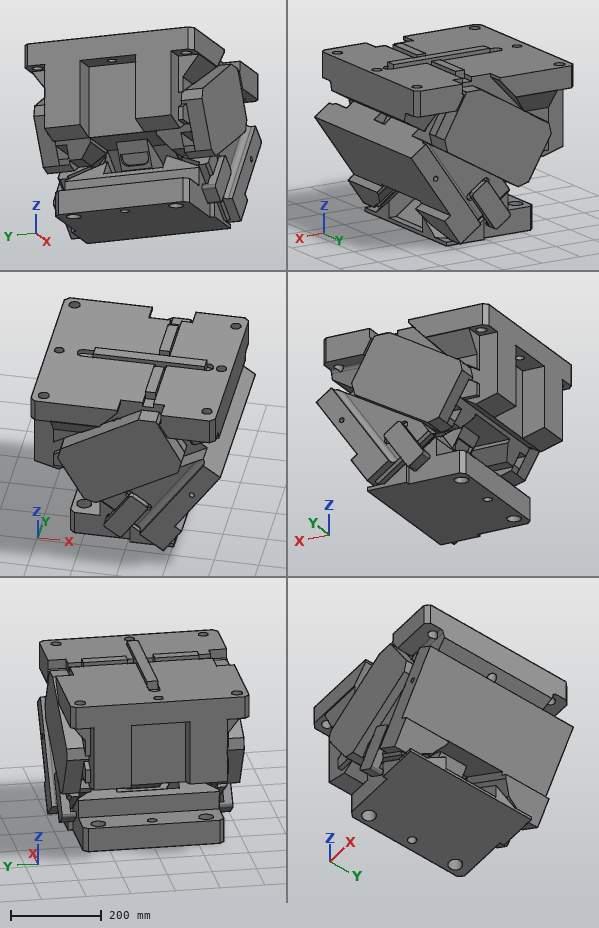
import cadquery as cq
import math

PLATE_HALF_WIDTH = 200.0
PLATE_LENGTH = 414.5
PLATE_TOP = 374.7
PLATE_BOTTOM_LEFT = 324.0
PLATE_BOTTOM_RIGHT = 315.5
PLATE_CORNER_CHAMFER = 10.5

GUIDE_ANGLE = 30.0
TRAVEL_ANGLE = 35.0
GUIDE_SLOPE = math.tan(math.radians(GUIDE_ANGLE))
END_SLOPE = -1 / GUIDE_SLOPE

LEG_HALF_WIDTH = 149.5
LEG_TIP = (54.5, 161.3)
LEG_FRONT_BOTTOM = 176.5
LEG_RECESS_HALF_WIDTH = 65.5
RAIL_HALF_WIDTH = 160.0
RAIL_START = 45.5
RAIL_BOTTOM = 177.5
GROOVE_LOW = 51.5
GROOVE_HIGH = 84.5

NOSE_TIP = (357.0, 262.2)
NOSE_BACK = 326.5
NOSE_SHOULDER = 308.5
NOSE_TOP_HALF_WIDTH = 154.0
NOSE_BOTTOM_HALF_WIDTH = 141.0
GUSSET_TOP_HALF_WIDTH = 197.5
GUSSET_BOTTOM = 275.0
NOTCH_LEFT = 196.0
NOTCH_RIGHT = 294.0
NOTCH_LEFT_BEND = (NOTCH_LEFT, 367.5)
NOTCH_LEFT_END = (85.5, 251.5)
NOTCH_RIGHT_BEND = (290.0, 349.5)

KEY_TOP = 384.0
CROSS_KEY_TOP = 383.5
KEY_SLOT_FLOOR = 364.5
KEY_HALF_WIDTH = 12.5
KEY_RANGE = (105.0, 355.5)
KEY_SLOT_RANGE = (67.0, 372.0)
CROSS_SLOT_RANGE = (245.0, 269.5)
CROSS_KEY_RANGE = (245.0, 268.2)
CROSS_KEY_Y_RANGE = (30.5, 129.5)

LEFT_HOLE_X = 26.0
LEFT_HOLE_Y = 175.5
LEFT_HOLE_DIAMETER = 24.0
LEFT_CENTRE_HOLE_DIAMETER = 20.5
RIGHT_HOLE_X = 390.5
RIGHT_HOLE_Y = 164.5
RIGHT_HOLE_DIAMETER = 22.0

BASE_START = 80.5
BASE_END = 316.5
BASE_STEP = 218.0
BASE_HALF_WIDTH = 158.0
BASE_WIDE_HALF_WIDTH = 169.0
BASE_FOOT_HEIGHT = 54.8
BASE_END_LEDGE = 8.5
SADDLE_CORNER = (149.0, 96.0)
EAVE_HEIGHT = 4.3
RIDGE_HALF_WIDTH = 69.7
RIDGE_HEIGHT = 55.0
RIDGE_SLOT_FLOOR = 13.5
BASE_HOLE_X = 106.0
BASE_HOLE_Y = 120.5
BASE_HOLE_DIAMETER = 32.5
BASE_CENTRE_HOLE_DIAMETER = 20.5

SLIDE_HALF_WIDTH = 177.5
SLIDE_BOTTOM = 15.5
RUNNER_INNER = 155.3
RUNNER_DROP = 6.0
RUNNER_LENGTH = 164.5
SLIDE_TOP = 265.5
FACE_BLOCK_BACK = 108.0
FACE_BLOCK_FRONT = 154.5
FACE_LIP_FRONT = 173.3
FACE_LIP_TOP = 87.0
COVE_RADIUS = 13.0
SIDE_HOLE = (134.5, 182.5)
SIDE_HOLE_DIAMETER = 11.0
SIDE_HOLE_DEPTH = 21.5
SIDE_PLATE_HALF_WIDTH = 198.5
SLIDE_END_TOP = (326.0, 303.5)
CHEEK_HALF_WIDTH = 135.0
CHEEK_GAP_Z_RANGE = (137.0, 164.3)
RIM_Y_RANGE = (21.5, 135.0)
CHANNEL_SIDE = [(155.3, 18.5), (106.5, 45.5), (83.0, 78.0), (78.0, 94.0)]
MOUTH_SIDE = [(106.5, 132.5), (78.0, 164.5), (78.0, 173.0)]
MOUTH_END = 202.8
STOP_HALF_WIDTH = 36.0
STOP_T_RANGE = (14.0, 64.0)
STOP_U_RANGE = (34.2, 98.5)
STOP_TOP = 177.5
STOP_POCKET_HALF_WIDTH = 32.0
STOP_POCKET_RANGE = (9.0, 37.2)
STOP_POCKET_RADIUS = 17.0
STOP_POCKET_DEPTH = 8.5

KEEPER_T_RANGE = (35.0, 84.3)
KEEPER_BOTTOM = -28.0
KEEPER_TOP = 81.3
KEEPER_HALF_WIDTH = 191.2
KEEPER_STEP = (171.5, 15.5)
KEEPER_HOOK = (159.5, -16.0)
KEEPER_CORNER_RADIUS = 6.5
RELIEF_RADIUS = 8.5
RELIEF_DEPTH = 8.5

REACH = 855.5

SIDE_PLATE_BOTTOM = (148.0, 117.5)
SIDE_PLATE_OUTLINE = [
    (62.0, 226.5), (68.0, 251.5), (243.0, 354.0), (282.8, 354.0),
    (339.5, 253.0), (332.0, 223.7), SIDE_PLATE_BOTTOM, (121.0, 125.0),
]


def on_slope(point, slope, x):
    """Point at x on the line of the given slope through a point."""
    return (x, point[1] + slope * (x - point[0]))


def crossing(point_a, slope_a, point_b, slope_b):
    """Meeting point of two sloped lines."""
    rise = point_b[1] - slope_b * point_b[0] - point_a[1] + slope_a * point_a[0]
    return on_slope(point_a, slope_a, rise / (slope_a - slope_b))


def guide_line(x, offset=0.0):
    """Point on the guide face, or on a parallel raised by offset in Z."""
    x_tip, z_tip = LEG_TIP
    return on_slope((x_tip, z_tip + offset), GUIDE_SLOPE, x)


TRAVEL_COS = math.cos(math.radians(TRAVEL_ANGLE))
TRAVEL_SIN = math.sin(math.radians(TRAVEL_ANGLE))
TRAVEL = (TRAVEL_COS, 0, -TRAVEL_SIN)


def at_depth(point, y=0.0):
    """Point in space from its X and Z at the given y."""
    return (point[0], y, point[1])


def travel_side_plane(y=0.0):
    """Sketch plane parallel to XZ with its axes along t and u; extrusion runs towards -Y."""
    origin = at_depth(SADDLE_CORNER, y)
    return cq.Workplane(cq.Plane(origin=origin, xDir=TRAVEL, normal=(0, -1, 0)))


def travel_section_plane():
    """Cross-section plane square to the travel, with its axes along Y and u."""
    return cq.Workplane(cq.Plane(origin=at_depth(SADDLE_CORNER), xDir=(0, 1, 0), normal=TRAVEL))


def travel_point(t, u):
    """X and Z of a point given in the travel frame."""
    return (
        SADDLE_CORNER[0] + t * TRAVEL_COS + u * TRAVEL_SIN,
        SADDLE_CORNER[1] - t * TRAVEL_SIN + u * TRAVEL_COS,
    )


def slab(outline, y_inner, y_outer):
    """XZ outline extruded between two distances from the centre plane, on the -Y side."""
    return cq.Workplane("XZ", origin=(0, -y_inner, 0)).polyline(outline).close().extrude(y_outer - y_inner)


def both_sides(solid):
    """The solid together with its mirror image across the centre plane."""
    return solid.union(solid.mirror("XZ"))


def mirrored_outline(half_outline):
    """Outline symmetric about the centre plane, from the corner points of its +Y half."""
    return half_outline + [(-y, height) for y, height in reversed(half_outline)]


def box_between(x_range, y_range, z_range):
    sizes = [high - low for low, high in (x_range, y_range, z_range)]
    corner = (x_range[0], y_range[0], z_range[0])
    return cq.Workplane("XY", origin=corner).box(*sizes, centered=False)


def vertical_holes(points, diameter):
    return cq.Workplane("XY").pushPoints(points).circle(diameter / 2).extrude(REACH)


def holder_plate():
    outline = [
        (0, PLATE_BOTTOM_LEFT), (0, PLATE_TOP), (PLATE_LENGTH, PLATE_TOP),
        (PLATE_LENGTH, PLATE_BOTTOM_RIGHT), (NOTCH_RIGHT, PLATE_BOTTOM_RIGHT),
        (NOTCH_RIGHT, PLATE_BOTTOM_LEFT),
    ]
    plate = both_sides(slab(outline, 0, PLATE_HALF_WIDTH))
    return plate.edges("|Z").edges("<X or >X").chamfer(PLATE_CORNER_CHAMFER)


def holder_legs():
    """Wedge-shaped body between the plate and the guide face, split into legs by a recess."""
    guide_end = crossing(LEG_TIP, GUIDE_SLOPE, (0, PLATE_BOTTOM_RIGHT), 0)
    outline = [(0, PLATE_TOP), (0, LEG_FRONT_BOTTOM), LEG_TIP, guide_end, (guide_end[0], PLATE_TOP)]
    body = both_sides(slab(outline, 0, LEG_HALF_WIDTH))
    recess = box_between(
        (0, LEG_TIP[0]), (-LEG_RECESS_HALF_WIDTH, LEG_RECESS_HALF_WIDTH), (0, PLATE_BOTTOM_LEFT)
    )
    return body.cut(recess)


def rail_groove():
    """Space of the groove in the -Y rail."""
    outline = [
        guide_line(0, GROOVE_LOW), guide_line(REACH, GROOVE_LOW),
        guide_line(REACH, GROOVE_HIGH), guide_line(0, GROOVE_HIGH),
    ]
    return slab(outline, LEG_HALF_WIDTH, RAIL_HALF_WIDTH)


def holder_rails():
    """Guide rails on the outer faces of the legs, each with a groove along the guide."""
    low_end = crossing(LEG_TIP, GUIDE_SLOPE, (0, RAIL_BOTTOM), 0)
    high_end = crossing(LEG_TIP, GUIDE_SLOPE, (0, PLATE_BOTTOM_RIGHT), 0)
    outline = [
        (RAIL_START, RAIL_BOTTOM), low_end, high_end,
        (high_end[0], PLATE_TOP), (RAIL_START, PLATE_TOP),
    ]
    rail = slab(outline, LEG_HALF_WIDTH, RAIL_HALF_WIDTH)
    return both_sides(rail.cut(rail_groove()))


def holder_gussets():
    """Sloped gussets joining the rails to the underside of the plate."""
    section = [
        (-RAIL_HALF_WIDTH, GUSSET_BOTTOM), (-GUSSET_TOP_HALF_WIDTH, PLATE_BOTTOM_LEFT),
        (-RAIL_HALF_WIDTH, PLATE_BOTTOM_LEFT),
    ]
    plane = cq.Workplane("YZ", origin=(RAIL_START, 0, 0))
    return both_sides(plane.polyline(section).close().extrude(NOTCH_LEFT - RAIL_START))


def holder_nose():
    """Stop nose under the +X end, with sides that taper inwards going down from root fillets."""
    root_radius = PLATE_BOTTOM_RIGHT - NOSE_SHOULDER
    root_half_width = NOSE_TOP_HALF_WIDTH + root_radius
    outline = [
        (NOSE_BACK, PLATE_BOTTOM_RIGHT), (NOSE_BACK, NOSE_SHOULDER), NOSE_TIP,
        on_slope(NOSE_TIP, GUIDE_SLOPE, PLATE_LENGTH), (PLATE_LENGTH, PLATE_BOTTOM_RIGHT),
    ]
    section = (
        cq.Workplane("YZ")
        .moveTo(-NOSE_BOTTOM_HALF_WIDTH, NOSE_TIP[1])
        .lineTo(NOSE_BOTTOM_HALF_WIDTH, NOSE_TIP[1])
        .lineTo(NOSE_TOP_HALF_WIDTH, NOSE_SHOULDER)
        .radiusArc((root_half_width, PLATE_BOTTOM_RIGHT), root_radius)
        .lineTo(-root_half_width, PLATE_BOTTOM_RIGHT)
        .radiusArc((-NOSE_TOP_HALF_WIDTH, NOSE_SHOULDER), root_radius)
        .close()
        .extrude(REACH)
    )
    return section.intersect(both_sides(slab(outline, 0, root_half_width)))


def side_plate_notches():
    """Clearance for the slide's side plates in the long edges of the plate."""
    outline = [
        (NOTCH_LEFT, PLATE_TOP), NOTCH_LEFT_BEND, NOTCH_LEFT_END,
        crossing(NOTCH_RIGHT_BEND, END_SLOPE, SIDE_PLATE_BOTTOM, GUIDE_SLOPE), NOTCH_RIGHT_BEND,
        (NOTCH_RIGHT, NOTCH_RIGHT_BEND[1] + NOTCH_RIGHT - NOTCH_RIGHT_BEND[0]), (NOTCH_RIGHT, PLATE_TOP),
    ]
    return both_sides(slab(outline, RAIL_HALF_WIDTH, PLATE_HALF_WIDTH))


def add_keys(holder):
    """Long key along X in a round-ended slot, crossed by two short keys along Y."""
    slot_start, slot_end = KEY_SLOT_RANGE
    slot = (
        cq.Workplane("XY", origin=((slot_start + slot_end) / 2, 0, KEY_SLOT_FLOOR))
        .slot2D(slot_end - slot_start, 2 * KEY_HALF_WIDTH)
        .extrude(PLATE_TOP - KEY_SLOT_FLOOR)
    )
    cross_slot = box_between(
        CROSS_SLOT_RANGE, (-RAIL_HALF_WIDTH, RAIL_HALF_WIDTH), (KEY_SLOT_FLOOR, PLATE_TOP)
    )
    long_key = box_between(KEY_RANGE, (-KEY_HALF_WIDTH, KEY_HALF_WIDTH), (KEY_SLOT_FLOOR, KEY_TOP))
    cross_key = box_between(CROSS_KEY_RANGE, CROSS_KEY_Y_RANGE, (KEY_SLOT_FLOOR, CROSS_KEY_TOP))
    return holder.cut(slot).cut(cross_slot).union(long_key).union(both_sides(cross_key))


def drill_holder(holder):
    left_points = [(LEFT_HOLE_X, y) for y in (-LEFT_HOLE_Y, LEFT_HOLE_Y)]
    right_points = [(RIGHT_HOLE_X, y) for y in (-RIGHT_HOLE_Y, 0, RIGHT_HOLE_Y)]
    return (
        holder.cut(vertical_holes(left_points, LEFT_HOLE_DIAMETER))
        .cut(vertical_holes([(LEFT_HOLE_X, 0)], LEFT_CENTRE_HOLE_DIAMETER))
        .cut(vertical_holes(right_points, RIGHT_HOLE_DIAMETER))
    )


def make_holder():
    holder = holder_plate().union(holder_legs()).union(holder_rails())
    holder = holder.union(holder_gussets()).union(holder_nose()).cut(side_plate_notches())
    return drill_holder(add_keys(holder))


TRAVEL_SLOPE = -TRAVEL_SIN / TRAVEL_COS
BED_END_SLOPE = -1 / TRAVEL_SLOPE
LEFT_END = SIDE_PLATE_OUTLINE[-1]
RIGHT_END = SIDE_PLATE_OUTLINE[4]
BED_END_TOP = crossing(SADDLE_CORNER, BED_END_SLOPE, SIDE_PLATE_BOTTOM, GUIDE_SLOPE)


def slide_bed():
    """Lower part of the slide, running on the base and ending under the side plates."""
    outline = [
        travel_point(0, SLIDE_BOTTOM), travel_point(FACE_BLOCK_BACK, SLIDE_BOTTOM),
        travel_point(FACE_BLOCK_BACK, SLIDE_TOP),
        crossing(travel_point(0, SLIDE_TOP), TRAVEL_SLOPE, SIDE_PLATE_BOTTOM, GUIDE_SLOPE),
        BED_END_TOP,
    ]
    return both_sides(slab(outline, 0, SLIDE_HALF_WIDTH))


def slide_runners():
    """Tapered strips under the outer edges of the bed."""
    section = [
        (-RUNNER_INNER, SLIDE_BOTTOM), (-RUNNER_INNER, SLIDE_BOTTOM - RUNNER_DROP),
        (RUNNER_DROP - SLIDE_HALF_WIDTH, SLIDE_BOTTOM - RUNNER_DROP), (-SLIDE_HALF_WIDTH, SLIDE_BOTTOM),
    ]
    return both_sides(travel_section_plane().polyline(section).close().extrude(RUNNER_LENGTH))


def slide_core():
    """Upper part of the slide under the holder's guide face, between the cheeks."""
    outline = [
        crossing(LEFT_END, END_SLOPE, LEG_TIP, GUIDE_SLOPE),
        crossing(SLIDE_END_TOP, END_SLOPE, LEG_TIP, GUIDE_SLOPE),
        crossing(SLIDE_END_TOP, END_SLOPE, SIDE_PLATE_BOTTOM, GUIDE_SLOPE),
        BED_END_TOP,
        crossing(LEFT_END, END_SLOPE, BED_END_TOP, 0),
    ]
    return both_sides(slab(outline, 0, CHEEK_HALF_WIDTH))


def slide_rims():
    """Raised rims at the +X end that carry the holder's nose."""
    outline = [
        crossing(SLIDE_END_TOP, END_SLOPE, SIDE_PLATE_BOTTOM, GUIDE_SLOPE),
        crossing(SLIDE_END_TOP, END_SLOPE, NOSE_TIP, GUIDE_SLOPE),
        crossing(travel_point(0, SLIDE_TOP), TRAVEL_SLOPE, NOSE_TIP, GUIDE_SLOPE),
        travel_point(FACE_BLOCK_BACK, SLIDE_TOP),
    ]
    return both_sides(slab(outline, *RIM_Y_RANGE))


def slide_cheeks():
    """Webs between the core and the side plates, each with an open gap at the -X end."""
    outline = [
        crossing(LEFT_END, END_SLOPE, LEG_TIP, GUIDE_SLOPE),
        crossing(RIGHT_END, END_SLOPE, LEG_TIP, GUIDE_SLOPE),
        *SIDE_PLATE_OUTLINE[4:],
    ]
    gap_low, gap_high = CHEEK_GAP_Z_RANGE
    gap = [
        (0, gap_low), crossing(SADDLE_CORNER, BED_END_SLOPE, (0, gap_low), 0),
        crossing(SADDLE_CORNER, BED_END_SLOPE, (0, gap_high), 0), (0, gap_high),
    ]
    cheek = slab(outline, CHEEK_HALF_WIDTH, RAIL_HALF_WIDTH)
    return both_sides(cheek.cut(slab(gap, CHEEK_HALF_WIDTH, RAIL_HALF_WIDTH)))


def slide_face_block():
    """Full-width mounting block across the +X end, with a lip and a small hole in each side."""
    outline = [
        (FACE_BLOCK_BACK, SLIDE_BOTTOM), (FACE_LIP_FRONT, SLIDE_BOTTOM),
        (FACE_LIP_FRONT, FACE_LIP_TOP), (FACE_BLOCK_FRONT, FACE_LIP_TOP),
        (FACE_BLOCK_FRONT, SLIDE_TOP), (FACE_BLOCK_BACK, SLIDE_TOP),
    ]
    block = travel_side_plane().polyline(outline).close().extrude(PLATE_HALF_WIDTH, both=True)
    hole = (
        travel_side_plane(SIDE_HOLE_DEPTH - PLATE_HALF_WIDTH)
        .center(*SIDE_HOLE).circle(SIDE_HOLE_DIAMETER / 2).extrude(SIDE_HOLE_DEPTH)
    )
    return block.cut(both_sides(hole))


def slide_coves():
    """Concave fillets between the bed's sides and the back of the face block."""
    plane = cq.Plane(
        origin=at_depth(travel_point(FACE_BLOCK_BACK, SLIDE_BOTTOM)),
        xDir=(0, -1, 0), normal=(TRAVEL_SIN, 0, TRAVEL_COS),
    )
    strip = (
        cq.Workplane(plane)
        .moveTo(SLIDE_HALF_WIDTH, 0)
        .line(COVE_RADIUS, 0)
        .radiusArc((SLIDE_HALF_WIDTH, -COVE_RADIUS), -COVE_RADIUS)
        .close()
        .extrude(SLIDE_TOP - SLIDE_BOTTOM)
    )
    below_side_plates = [
        on_slope(SIDE_PLATE_BOTTOM, GUIDE_SLOPE, 0), on_slope(SIDE_PLATE_BOTTOM, GUIDE_SLOPE, REACH),
        (REACH, 0), (0, 0),
    ]
    return both_sides(strip.intersect(slab(below_side_plates, 0, PLATE_HALF_WIDTH)))


def slide_side_plates():
    """Side plates overlapping the holder's rails, with a tongue in each rail groove."""
    plate = slab(SIDE_PLATE_OUTLINE, RAIL_HALF_WIDTH, SIDE_PLATE_HALF_WIDTH)
    tongue = slab(SIDE_PLATE_OUTLINE, LEG_HALF_WIDTH, RAIL_HALF_WIDTH)
    below_plate = box_between((0, REACH), (-REACH, REACH), (0, PLATE_BOTTOM_RIGHT))
    tongue = tongue.intersect(rail_groove()).intersect(below_plate)
    return both_sides(plate.union(tongue))


def slide_channel():
    """Vee channel along the travel that clears the ridge of the base."""
    outline = mirrored_outline([(RUNNER_INNER, 0), *CHANNEL_SIDE])
    return travel_section_plane().polyline(outline).close().extrude(REACH)


def slide_mouth():
    """Opening through the -X end of the core that leads into the channel."""
    return cq.Workplane("YZ").polyline(mirrored_outline(MOUTH_SIDE)).close().extrude(MOUTH_END)


def slide_stop():
    """Stop block hanging from the core into the slot of the base's ridge, with a pocket in its front."""
    t_low, t_high = STOP_T_RANGE
    u_low, u_high = STOP_U_RANGE
    front_bottom = travel_point(t_low, u_low)
    outline = [
        front_bottom, crossing(front_bottom, END_SLOPE, (0, STOP_TOP), 0),
        travel_point(t_high, u_high), travel_point(t_high, u_low),
    ]
    low, high = STOP_POCKET_RANGE
    guide_rad = math.radians(GUIDE_ANGLE)
    front_plane = cq.Plane(
        origin=at_depth(front_bottom), xDir=(0, 1, 0),
        normal=(math.cos(guide_rad), 0, math.sin(guide_rad)),
    )
    pocket = (
        cq.Workplane(front_plane)
        .center(0, (low + high) / 2)
        .rect(2 * STOP_POCKET_HALF_WIDTH, high - low)
        .extrude(STOP_POCKET_DEPTH)
        .edges(cq.selectors.ParallelDirSelector(front_plane.zDir))
        .edges("<Z").fillet(STOP_POCKET_RADIUS)
    )
    return both_sides(slab(outline, 0, STOP_HALF_WIDTH)).cut(pocket)


def slide_keepers():
    """Keeper blocks on the bed's sides, thickening downwards into hooks below the bed."""
    t_low, t_high = KEEPER_T_RANGE
    step_y, step_u = KEEPER_STEP
    hook_y, hook_u = KEEPER_HOOK
    section = [
        (-KEEPER_HALF_WIDTH, KEEPER_BOTTOM), (-KEEPER_HALF_WIDTH, KEEPER_TOP),
        (-SLIDE_HALF_WIDTH, KEEPER_TOP), (-SLIDE_HALF_WIDTH, step_u), (-step_y, step_u),
        (-step_y, hook_u), (-hook_y, hook_u), (-hook_y, KEEPER_BOTTOM),
    ]
    keeper = (
        travel_section_plane().workplane(offset=t_low)
        .polyline(section).close().extrude(t_high - t_low)
    )
    rounding = (
        travel_side_plane()
        .center((t_low + t_high) / 2, (KEEPER_BOTTOM + KEEPER_TOP) / 2)
        .rect(t_high - t_low, KEEPER_TOP - KEEPER_BOTTOM)
        .extrude(KEEPER_HALF_WIDTH)
        .edges("|Y").fillet(KEEPER_CORNER_RADIUS)
    )
    return both_sides(keeper.intersect(rounding))


def keeper_reliefs():
    """Round corner reliefs in the bed's sides at the upper end of each keeper."""
    relief = (
        travel_side_plane(RELIEF_DEPTH - SLIDE_HALF_WIDTH)
        .pushPoints([(t, KEEPER_TOP - RELIEF_RADIUS) for t in KEEPER_T_RANGE])
        .circle(RELIEF_RADIUS).extrude(RELIEF_DEPTH)
    )
    return both_sides(relief)


def make_slide():
    slide = slide_bed().union(slide_runners()).union(slide_core()).union(slide_rims())
    slide = slide.union(slide_face_block()).union(slide_coves())
    slide = slide.cut(slide_channel()).cut(slide_mouth()).cut(keeper_reliefs()).union(slide_stop())
    return slide.union(slide_cheeks()).union(slide_side_plates()).union(slide_keepers())


def base_foot():
    """Mounting foot with chamfered front corners."""
    foot = box_between(
        (BASE_START, SADDLE_CORNER[0]), (-BASE_HALF_WIDTH, BASE_HALF_WIDTH), (0, BASE_FOOT_HEIGHT)
    )
    return foot.edges("|Z and <X").chamfer(PLATE_CORNER_CHAMFER)


def base_saddle():
    """Saddle with a slotted vee ridge along the travel, wider towards the +X end."""
    half_section = [
        (BASE_WIDE_HALF_WIDTH, -REACH / 2), (BASE_WIDE_HALF_WIDTH, 0), (BASE_HALF_WIDTH, EAVE_HEIGHT),
        (RIDGE_HALF_WIDTH, RIDGE_HEIGHT), (RIDGE_HALF_WIDTH, RIDGE_SLOT_FLOOR),
    ]
    ridge = travel_section_plane().polyline(mirrored_outline(half_section)).close().extrude(REACH)
    narrow_zone = box_between(
        (SADDLE_CORNER[0], BASE_STEP), (-BASE_HALF_WIDTH, BASE_HALF_WIDTH), (0, REACH)
    )
    wide_zone = box_between(
        (BASE_STEP, BASE_END), (-BASE_WIDE_HALF_WIDTH, BASE_WIDE_HALF_WIDTH), (0, REACH)
    )
    return ridge.intersect(narrow_zone.union(wide_zone))


def base_ledge():
    """Thin ledge along the foot of the ridge at the +X end."""
    return box_between(
        (BASE_STEP, BASE_END), (-BASE_WIDE_HALF_WIDTH, BASE_WIDE_HALF_WIDTH), (0, BASE_END_LEDGE)
    )


def make_base():
    base = base_foot().union(base_saddle()).union(base_ledge())
    corner_points = [(BASE_HOLE_X, y) for y in (-BASE_HOLE_Y, BASE_HOLE_Y)]
    base = base.cut(vertical_holes(corner_points, BASE_HOLE_DIAMETER))
    return base.cut(vertical_holes([(BASE_HOLE_X, 0)], BASE_CENTRE_HOLE_DIAMETER))


holder = make_holder()
slide = make_slide()
base = make_base()

result = cq.Compound.makeCompound([body.solids().val() for body in (holder, slide, base)])